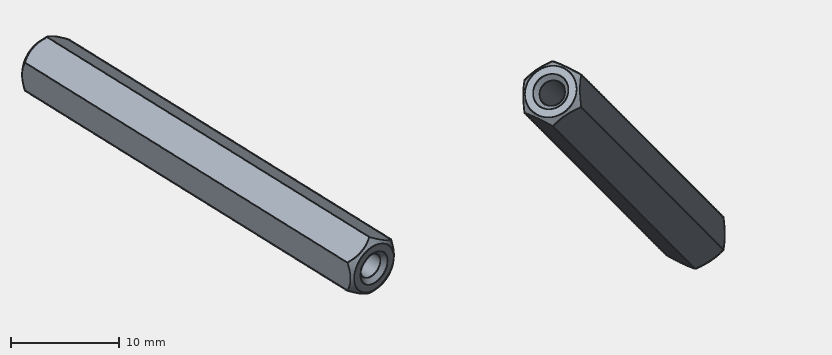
import cadquery as cq
import math

length = 45.0
across_flats = 5.5
across_corners = across_flats / math.cos(math.radians(30))

end_face_diameter = 5.0
chamfer_depth = 0.65

hole_diameter = 2.48
hole_depth = 9.9
drill_point_angle = 118.0
countersink_diameter = 3.4
countersink_angle = 90.0

half_length = length / 2
corner_radius = across_corners / 2
end_face_radius = end_face_diameter / 2
hole_radius = hole_diameter / 2
countersink_radius = countersink_diameter / 2
countersink_depth = (countersink_radius - hole_radius) / math.tan(math.radians(countersink_angle / 2))
drill_point_depth = hole_radius / math.tan(math.radians(drill_point_angle / 2))


def revolve_about_x(points):
    """Revolve a closed profile of (axial position, radius) points about X."""
    return cq.Workplane("XY").polyline(points).close().revolve(360, (0, 0, 0), (1, 0, 0))


def hexagon_bar():
    """Hexagon with two corners on the Z axis and two flats facing +Y and -Y."""
    return (
        cq.Workplane("YZ")
        .transformed(rotate=(0, 0, 90))
        .polygon(6, across_corners)
        .extrude(half_length, both=True)
    )


def chamfer_envelope():
    """Round bar with conical ends, just enclosing the hexagon corners."""
    shoulder = half_length - chamfer_depth
    return revolve_about_x([
        (-half_length, 0),
        (-half_length, end_face_radius),
        (-shoulder, corner_radius),
        (shoulder, corner_radius),
        (half_length, end_face_radius),
        (half_length, 0),
    ])


def left_hole():
    """Countersunk blind hole with a conical bottom, entering from the -X end."""
    hole_end = -half_length + hole_depth
    return revolve_about_x([
        (-half_length, 0),
        (-half_length, countersink_radius),
        (-half_length + countersink_depth, hole_radius),
        (hole_end, hole_radius),
        (hole_end + drill_point_depth, 0),
    ])


hole = left_hole()
result = hexagon_bar().intersect(chamfer_envelope()).cut(hole).cut(hole.mirror("YZ"))